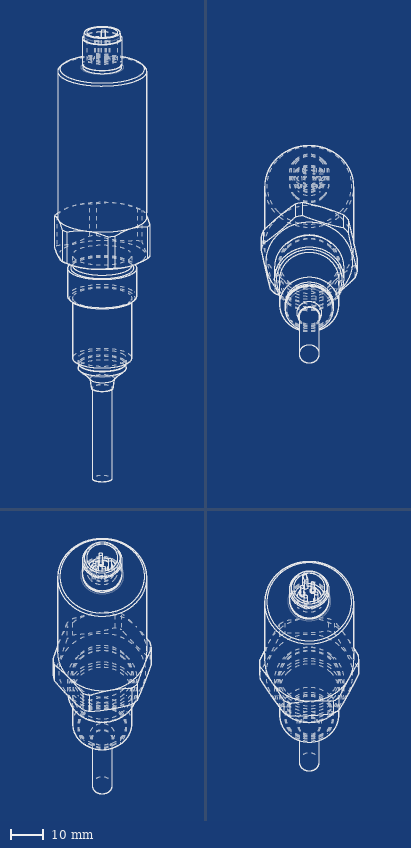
import cadquery as cq
import math

total_height = 143.7
stem_top = 29.2
nose_arc_bottom = 32.2
nose_bottom = 35.0
nose_groove_root = 37.0
nose_groove_top = 37.2
sleeve_bottom = 38.8
ring_bottom = 58.2
ring_top = 67.8
hex_bottom = 72.0
hex_top = 84.2
body_top = 131.9
cone_top = 132.5
undercut_top = 133.5
tip_bottom = 141.8

stem_diameter = 6.0
stem_collar_diameter = 6.6
nose_arc_diameter = 7.5
nose_diameter = 14.7
sleeve_diameter = 18.0
ring_diameter = 21.0
body_diameter = 27.0
cone_diameter = 13.0
plug_diameter = 12.0
undercut_diameter = 11.8
tip_diameter = 11.2

nose_chamfer = 0.6
nose_groove_depth = 0.3
nose_arc_sag = 0.1
ring_chamfer = 0.6
neck_flare_height = 0.9
neck_flare_width = 0.6
body_chamfer = 0.7
tip_chamfer_height = 1.0
tip_chamfer_width = 0.22

hex_across_flats = body_diameter
hex_corner_diameter = 30.0
hex_top_chamfer_width = (hex_corner_diameter - body_diameter) / 2
hex_bottom_chamfer_width = 1.9
hex_chamfer_height = 1.0

socket_diameter = 9.3
socket_depth = 8.6
socket_floor = total_height - socket_depth
pin_diameter = 1.0
pin_circle_diameter = 4.7
pin_count = 4
pin_length = 6.5
pin_collar_diameter = 1.7
pin_collar_length = 0.9
floor_disc_diameter = 7.3
floor_disc_height = 0.5
key_angle = 135.0
key_width = 1.1
key_height = 1.7
key_top_gap = 0.9


def turned_section(diameter, bottom, top):
    return cq.Workplane("XY").workplane(offset=bottom).circle(diameter / 2).extrude(top - bottom)


def tapered_section(bottom_diameter, bottom, top_diameter, top):
    return (
        cq.Workplane("XY")
        .workplane(offset=bottom)
        .circle(bottom_diameter / 2)
        .workplane(offset=top - bottom)
        .circle(top_diameter / 2)
        .loft()
    )


def make_nose():
    """Tapered stem collar that flares through a concave arc into the grooved nose."""
    arc_radius = nose_arc_diameter / 2
    nose_radius = nose_diameter / 2
    face_radius = nose_radius - nose_chamfer
    chord_width = face_radius - arc_radius
    chord_height = nose_bottom - nose_arc_bottom
    chord_length = math.hypot(chord_width, chord_height)
    arc_middle = (
        (arc_radius + face_radius) / 2 - nose_arc_sag * chord_height / chord_length,
        (nose_arc_bottom + nose_bottom) / 2 + nose_arc_sag * chord_width / chord_length,
    )
    return (
        cq.Workplane("XZ")
        .moveTo(0, stem_top)
        .lineTo(stem_collar_diameter / 2, stem_top)
        .lineTo(arc_radius, nose_arc_bottom)
        .threePointArc(arc_middle, (face_radius, nose_bottom))
        .lineTo(nose_radius, nose_bottom + nose_chamfer)
        .lineTo(nose_radius - nose_groove_depth, nose_groove_root)
        .lineTo(nose_radius, nose_groove_top)
        .lineTo(nose_radius, sleeve_bottom)
        .lineTo(0, sleeve_bottom)
        .close()
        .revolve(360, (0, 0), (0, 1))
    )


def make_sleeve():
    sleeve = turned_section(sleeve_diameter, sleeve_bottom, hex_bottom)
    ring = turned_section(ring_diameter, ring_bottom, ring_top).faces("<Z").chamfer(ring_chamfer)
    flare_diameter = sleeve_diameter + 2 * neck_flare_width
    flare = tapered_section(flare_diameter, ring_top, sleeve_diameter, ring_top + neck_flare_height)
    return sleeve.union(ring).union(flare)


def make_hexagon():
    """Hexagon with flats facing +X and -X, bounded by a cylinder chamfered at both ends."""
    height = hex_top - hex_bottom
    corner_distance = hex_across_flats / math.cos(math.pi / 6)
    prism = (
        cq.Workplane("XY")
        .workplane(offset=hex_bottom)
        .transformed(rotate=(0, 0, 90))
        .polygon(6, corner_distance)
        .extrude(height)
    )
    envelope = (
        turned_section(hex_corner_diameter, hex_bottom, hex_top)
        .faces(">Z")
        .chamfer(hex_chamfer_height, hex_top_chamfer_width)
        .faces("<Z")
        .chamfer(hex_chamfer_height, hex_bottom_chamfer_width)
    )
    return prism.intersect(envelope)


def make_body():
    """Cylindrical housing with a chamfered edge and a slightly conical top."""
    housing = turned_section(body_diameter, hex_top, body_top).faces(">Z").chamfer(body_chamfer)
    top_diameter = body_diameter - 2 * body_chamfer
    return housing.union(tapered_section(top_diameter, body_top, cone_diameter, cone_top))


def make_pins():
    """Ring of contact pins, each standing on a short collar."""

    def pin_ring(diameter, length):
        return (
            cq.Workplane("XY")
            .workplane(offset=socket_floor)
            .polarArray(pin_circle_diameter / 2, 0, 360, pin_count)
            .circle(diameter / 2)
            .extrude(length)
        )

    return pin_ring(pin_diameter, pin_length).union(pin_ring(pin_collar_diameter, pin_collar_length))


def make_key():
    """Coding rib that reaches from inside the socket halfway into its wall."""
    inner_radius = socket_diameter / 2 - key_height
    outer_radius = (socket_diameter + tip_diameter) / 4
    return (
        cq.Workplane("XY")
        .workplane(offset=socket_floor)
        .center((inner_radius + outer_radius) / 2, 0)
        .rect(outer_radius - inner_radius, key_width)
        .extrude(socket_depth - key_top_gap)
        .rotate((0, 0, 0), (0, 0, 1), key_angle)
    )


def make_plug():
    undercut = turned_section(undercut_diameter, cone_top, undercut_top)
    barrel = turned_section(plug_diameter, undercut_top, tip_bottom)
    tip = (
        turned_section(tip_diameter, tip_bottom, total_height)
        .faces(">Z")
        .chamfer(tip_chamfer_height, tip_chamfer_width)
    )
    shell = undercut.union(barrel).union(tip)
    socket = turned_section(socket_diameter, socket_floor, total_height)
    floor_disc = turned_section(floor_disc_diameter, socket_floor, socket_floor + floor_disc_height)
    return shell.cut(socket).union(floor_disc).union(make_pins()).union(make_key())


stem = turned_section(stem_diameter, 0, stem_top)
result = (
    stem.union(make_nose())
    .union(make_sleeve())
    .union(make_hexagon())
    .union(make_body())
    .union(make_plug())
)